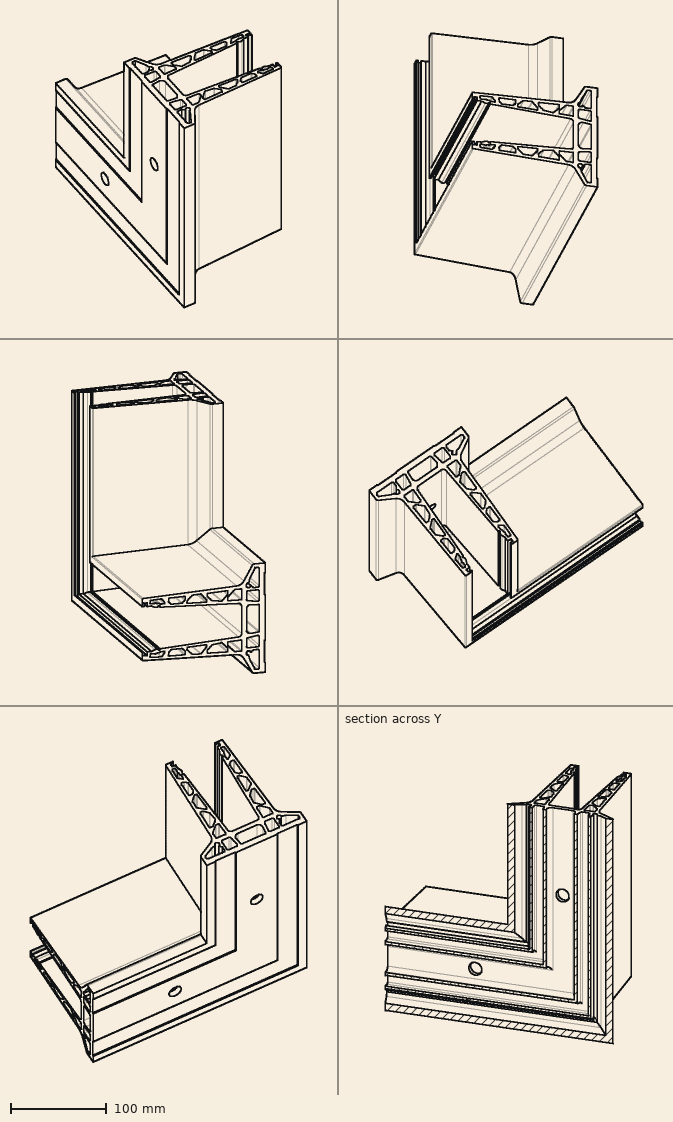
import cadquery as cq
import math


leg_length = 255.2
flange_width = 119.5
profile_height = 136.0
half_flange_width = flange_width / 2

flange_edge = 13.8
flange_slope_angle = 30.0
wall_outer_top = 34.0
wall_outer_base = 37.8
fillet_flange_edge = 2.5
fillet_wall_root = 9.7
fillet_wall_top = 1.0

channel_floor = 26.3
channel_floor_half = 18.0
fillet_channel_floor = 3.5
channel_wall_half = 22.7
undercut_half = 24.0
hook_half = 22.2
neck_half = 24.8
slot_half = 28.8
mouth_half = 25.0
fillet_mouth = 1.0
fillet_hook = 3.5
undercut_bottom = 116.4
undercut_top = 118.0
hook_height = 120.0
neck_bottom = 125.8
slot_bottom = 130.6
slot_top = 134.0

cell_bottom = 7.0
cell_top = 21.0
flange_cell_fillet = 1.8
center_cell_top_fillet = 4.5
center_cell_bottom_fillet = 0.8
wall_cell_fillet = 0.8
screw_port_half = 37.0
screw_port_height = 18.5
screw_port_radius = 2.5

strip_inner_half = 24.5
strip_outer_half = 49.5
strip_depth = 0.8
strip_side_run = 0.8

hole_diameter = 14.3
hole_from_end = 98.0

edge_cell = [
    (34.0, cell_bottom), (55.5, cell_bottom), (55.5, 11.2), (44.1, 17.4),
    (38.8, 18.5), (36.2, 15.8), (34.0, 13.3),
]
corner_cell = [(18.4, cell_bottom), (31.1, cell_bottom), (31.1, cell_top), (20.5, cell_top)]
center_cell_half = [(14.8, cell_bottom), (16.3, cell_top)]
center_cell = center_cell_half + [(-half, height) for half, height in reversed(center_cell_half)]

wall_cells = [
    [(22.0, 26.3), (34.0, 26.3), (34.0, 34.0), (26.3, 41.5), (22.5, 41.5)],
    [(29.3, 41.5), (33.5, 41.5), (32.7, 64.0), (29.0, 64.0), (24.0, 58.7), (22.7, 48.2)],
    [(23.2, 65.0), (25.8, 65.0), (32.7, 71.2), (32.5, 80.6), (26.8, 86.5), (24.0, 86.5)],
    [(27.8, 88.8), (32.0, 88.8), (31.6, 107.0), (27.8, 107.0), (24.8, 104.0), (24.8, 92.0)],
    [
        (26.0, 110.2), (31.6, 114.5), (31.1, 127.3), (27.3, 127.3), (27.3, 122.7),
        (28.0, 121.7), (27.0, 120.0), (27.0, 117.6), (26.0, 115.8),
    ],
]

reach = 0.03


def section(points):
    return cq.Workplane("XY").polyline(points).close().extrude(leg_length)


def rounded_section(points, radius):
    return section(points).edges("|Z").fillet(radius)


def both_sides(body):
    return body.union(body.mirror("YZ"))


def symmetric_section(right_side):
    left_side = [(-half, height) for half, height in reversed(right_side)]
    return section(right_side + left_side)


def edges_at(body, half, height):
    """Lengthwise edges through a profile point and its mirror image."""
    boxes = [
        cq.selectors.BoxSelector(
            (side * half - reach, height - reach, -reach),
            (side * half + reach, height + reach, leg_length + reach),
        )
        for side in (-1, 1)
    ]
    return body.edges("|Z").edges(boxes[0] + boxes[1])


def make_outer_body():
    slope_rise = (half_flange_width - wall_outer_base) * math.tan(math.radians(flange_slope_angle))
    root_height = flange_edge + slope_rise
    body = symmetric_section([
        (half_flange_width, 0),
        (half_flange_width, flange_edge),
        (wall_outer_base, root_height),
        (wall_outer_top, profile_height),
    ])
    body = edges_at(body, half_flange_width, flange_edge).fillet(fillet_flange_edge)
    body = edges_at(body, wall_outer_base, root_height).fillet(fillet_wall_root)
    return edges_at(body, wall_outer_top, profile_height).fillet(fillet_wall_top)


def make_channel():
    channel = symmetric_section([
        (channel_floor_half, channel_floor),
        (channel_wall_half, undercut_bottom),
        (undercut_half, undercut_bottom),
        (undercut_half, undercut_top),
        (hook_half, hook_height),
        (neck_half, neck_bottom),
        (neck_half, slot_bottom),
        (slot_half, slot_bottom),
        (slot_half, slot_top),
        (mouth_half, slot_top),
        (mouth_half, profile_height),
    ])
    channel = edges_at(channel, channel_floor_half, channel_floor).fillet(fillet_channel_floor)
    channel = edges_at(channel, hook_half, hook_height).fillet(fillet_hook)
    return edges_at(channel, mouth_half, slot_top).fillet(fillet_mouth)


def make_center_cell():
    cell = section(center_cell)
    cell = cell.edges("|Z and >Y").fillet(center_cell_top_fillet)
    return cell.edges("|Z and <Y").fillet(center_cell_bottom_fillet)


def make_edge_cell():
    """Triangular cell under the flange slope, opening into a round screw port."""
    cell = section(edge_cell).edges("|Z and <Y").fillet(flange_cell_fillet)
    screw_port = (
        cq.Workplane("XY")
        .center(screw_port_half, screw_port_height)
        .circle(screw_port_radius)
        .extrude(leg_length)
    )
    return cell.union(screw_port)


def make_leg():
    leg = make_outer_body().cut(make_channel())
    leg = leg.cut(make_center_cell())
    leg = leg.cut(both_sides(rounded_section(corner_cell, flange_cell_fillet)))
    leg = leg.cut(both_sides(make_edge_cell()))
    for points in wall_cells:
        leg = leg.cut(both_sides(rounded_section(points, wall_cell_fillet)))
    strip = section([
        (strip_inner_half, 0),
        (strip_outer_half, 0),
        (strip_outer_half - strip_side_run, strip_depth),
        (strip_inner_half + strip_side_run, strip_depth),
    ])
    leg = leg.cut(both_sides(strip))
    hole = (
        cq.Workplane("XZ")
        .center(0, leg_length - hole_from_end)
        .circle(hole_diameter / 2)
        .extrude(-profile_height)
    )
    return leg.cut(hole).translate((-half_flange_width, 0, 0))


def make_miter_wedge():
    """Region above the 45 degree miter plane, large enough for one leg."""
    return (
        cq.Workplane("XZ")
        .polyline([(0, 0), (0, leg_length), (-leg_length, leg_length)])
        .close()
        .extrude(-profile_height)
    )


upright_leg = make_leg().intersect(make_miter_wedge())
level_leg = upright_leg.mirror(cq.Vector(1, 0, 1))
result = upright_leg.union(level_leg)